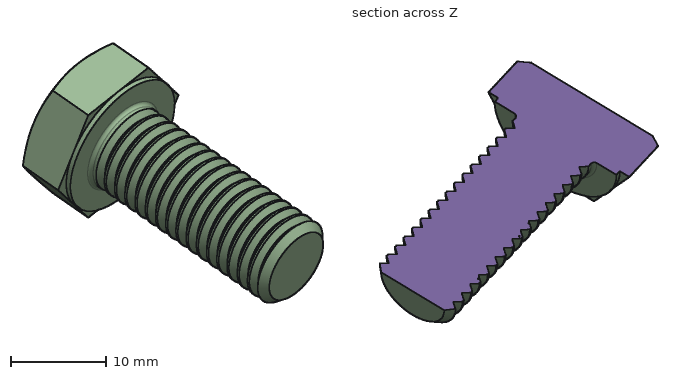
import cadquery as cq
import math

total_length = 31.4

across_flats = 16.0
head_height = 6.4
washer_thickness = 0.6
head_chamfer_angle = 30.0

shank_radius = 5.0
groove_count = 16
groove_half_width = 0.6
groove_depth = 0.72
under_head_fillet = 0.4
end_chamfer_depth = 0.85

flat_radius = across_flats / 2
corner_radius = flat_radius / math.cos(math.radians(30))
hexagon_height = head_height - washer_thickness
head_chamfer_length = (corner_radius - flat_radius) * math.tan(math.radians(head_chamfer_angle))
pitch = (total_length - head_height) / (groove_count + 1)
root_radius = shank_radius - groove_depth


def revolve_about_x(profile):
    """Revolve a closed (x, radius) profile a full turn about the X axis."""
    return profile.close().revolve(360, (0, 0, 0), (1, 0, 0))


def make_hexagon():
    """Hexagonal head with flats facing +Z and -Z and chamfered outer corners."""
    prism = cq.Workplane("YZ").polygon(6, 2 * corner_radius).extrude(hexagon_height)
    chamfer_envelope = revolve_about_x(
        cq.Workplane("XY")
        .lineTo(0, flat_radius)
        .lineTo(head_chamfer_length, corner_radius)
        .lineTo(hexagon_height, corner_radius)
        .lineTo(hexagon_height, 0)
    )
    return prism.intersect(chamfer_envelope)


def make_washer_face():
    """Round bearing face under the hexagon, as wide as the flats."""
    return cq.Workplane("YZ", origin=(hexagon_height, 0, 0)).circle(flat_radius).extrude(washer_thickness)


def make_shank():
    """Threaded shank with a fillet under the head and a chamfered free end."""
    fillet_offset = under_head_fillet * (1 - math.sqrt(0.5))
    profile = (
        cq.Workplane("XY")
        .moveTo(hexagon_height, 0)
        .lineTo(hexagon_height, shank_radius + under_head_fillet)
        .lineTo(head_height, shank_radius + under_head_fillet)
        .threePointArc(
            (head_height + fillet_offset, shank_radius + fillet_offset),
            (head_height + under_head_fillet, shank_radius),
        )
    )
    for groove in range(1, groove_count + 1):
        root_x = head_height + groove * pitch
        profile = (
            profile.lineTo(root_x - groove_half_width, shank_radius)
            .lineTo(root_x, root_radius)
            .lineTo(root_x + groove_half_width, shank_radius)
        )
    profile = profile.lineTo(total_length, shank_radius - end_chamfer_depth).lineTo(total_length, 0)
    return revolve_about_x(profile)


result = make_hexagon().union(make_washer_face()).union(make_shank())